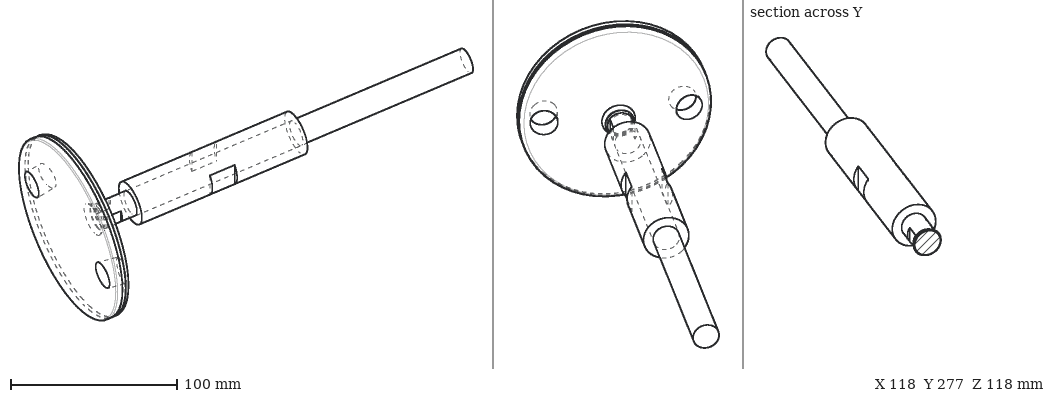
import cadquery as cq
import math

TOTAL_LENGTH = 277.0

FOOT_DIAMETER = 118.0
FOOT_RADIUS = FOOT_DIAMETER / 2
CONE_TOP_RADIUS = 10.2
CONE_TOP_Y = 17.5
CONE_ANGLE = 9.4
RIM_FILLET = 2.8
BOTTOM_FILLET = 0.8
GROOVE_LOW_Y = 4.5
GROOVE_HIGH_Y = 6.6
GROOVE_DEPTH = 0.3
NECK_RADIUS = 8.0
NECK_Y = 20.2
NECK_FLARE_RADIUS = 4.2
LIP_RADIUS = 9.0
LIP_Y = 21.0
NECK_TOP_RADIUS = 6.6
NECK_TOP_Y = 22.2

HOLE_DIAMETER = 16.5
HOLE_OFFSET = 42.7
HOLE_CLEARANCE = 13.8

SPINDLE_DIAMETER = 16.0
SPINDLE_RADIUS = SPINDLE_DIAMETER / 2
SPINDLE_SHOULDER_Y = 23.0
SPINDLE_FLAT_WIDTH = 13.0
SPINDLE_FLAT_LOW_Y = 23.5
SPINDLE_FLAT_HIGH_Y = 33.5

SLEEVE_DIAMETER = 28.0
SLEEVE_LOW_Y = 43.8
SLEEVE_LENGTH = 115.0
SLEEVE_FLAT_WIDTH = 22.2
SLEEVE_FLAT_LENGTH = 17.2


def revolve_about_y(profile):
    """Turn a closed XY outline into a solid around the Y axis."""
    return profile.close().revolve(360, (0, 0, 0), (0, 1, 0))


def cylinder_along_y(diameter, low_y, length):
    """Make a cylinder on the Y axis, starting at low_y."""
    return cq.Workplane("XZ", origin=(0, low_y, 0)).circle(diameter / 2).extrude(-length)


def cut_wrench_flats(body, diameter, across_flats, low_y, high_y):
    """Cut two opposite flats that face -X and +X."""
    depth = (diameter - across_flats) / 2
    length = high_y - low_y
    for side in (-1, 1):
        cutter = cq.Workplane("XY").box(depth, length, diameter)
        center = (side * (across_flats + depth) / 2, low_y + length / 2, 0)
        body = body.cut(cutter.translate(center))
    return body


def make_foot():
    """Conical plate with a filleted, grooved rim and a small lipped neck."""
    slope = math.radians(CONE_ANGLE)
    rim_y = CONE_TOP_Y - (FOOT_RADIUS - CONE_TOP_RADIUS) * math.tan(slope)
    tangent_length = RIM_FILLET * math.tan((math.pi / 2 - slope) / 2)
    fillet_start_y = rim_y - tangent_length
    fillet_end = (
        FOOT_RADIUS - tangent_length * math.cos(slope),
        rim_y + tangent_length * math.sin(slope),
    )
    groove_radius = FOOT_RADIUS - GROOVE_DEPTH
    foot = revolve_about_y(
        cq.Workplane("XY")
        .moveTo(0, 0)
        .lineTo(FOOT_RADIUS - BOTTOM_FILLET, 0)
        .radiusArc((FOOT_RADIUS, BOTTOM_FILLET), -BOTTOM_FILLET)
        .lineTo(FOOT_RADIUS, GROOVE_LOW_Y)
        .lineTo(groove_radius, GROOVE_LOW_Y)
        .lineTo(groove_radius, GROOVE_HIGH_Y)
        .lineTo(FOOT_RADIUS, GROOVE_HIGH_Y)
        .lineTo(FOOT_RADIUS, fillet_start_y)
        .radiusArc(fillet_end, -RIM_FILLET)
        .lineTo(CONE_TOP_RADIUS, CONE_TOP_Y)
        .radiusArc((NECK_RADIUS, NECK_Y), -NECK_FLARE_RADIUS)
        .lineTo(LIP_RADIUS, LIP_Y)
        .lineTo(NECK_TOP_RADIUS, NECK_TOP_Y)
        .lineTo(0, NECK_TOP_Y)
    )
    for side in (-1, 1):
        direction = cq.Vector(side * math.sin(slope), math.cos(slope), 0)
        start = cq.Vector(side * HOLE_OFFSET, 0, 0) - direction * HOLE_CLEARANCE
        length = CONE_TOP_Y + 2 * HOLE_CLEARANCE
        foot = foot.cut(cq.Workplane(cq.Solid.makeCylinder(HOLE_DIAMETER / 2, length, start, direction)))
    return foot


def make_spindle():
    """Round rod that stands on the foot, with a tapered lower end and two wrench flats."""
    rod = revolve_about_y(
        cq.Workplane("XY")
        .moveTo(0, NECK_TOP_Y)
        .lineTo(NECK_TOP_RADIUS, NECK_TOP_Y)
        .lineTo(SPINDLE_RADIUS, SPINDLE_SHOULDER_Y)
        .lineTo(SPINDLE_RADIUS, TOTAL_LENGTH)
        .lineTo(0, TOTAL_LENGTH)
    )
    return cut_wrench_flats(
        rod, SPINDLE_DIAMETER, SPINDLE_FLAT_WIDTH, SPINDLE_FLAT_LOW_Y, SPINDLE_FLAT_HIGH_Y
    )


def make_sleeve():
    """Tube around the spindle, with two wrench flats halfway along it."""
    tube = cylinder_along_y(SLEEVE_DIAMETER, SLEEVE_LOW_Y, SLEEVE_LENGTH)
    tube = tube.cut(cylinder_along_y(SPINDLE_DIAMETER, SLEEVE_LOW_Y, SLEEVE_LENGTH))
    flat_low_y = SLEEVE_LOW_Y + (SLEEVE_LENGTH - SLEEVE_FLAT_LENGTH) / 2
    flat_high_y = flat_low_y + SLEEVE_FLAT_LENGTH
    return cut_wrench_flats(tube, SLEEVE_DIAMETER, SLEEVE_FLAT_WIDTH, flat_low_y, flat_high_y)


foot = make_foot()
spindle = make_spindle()
sleeve = make_sleeve()

result = cq.Compound.makeCompound([foot.val(), spindle.val(), sleeve.val()])